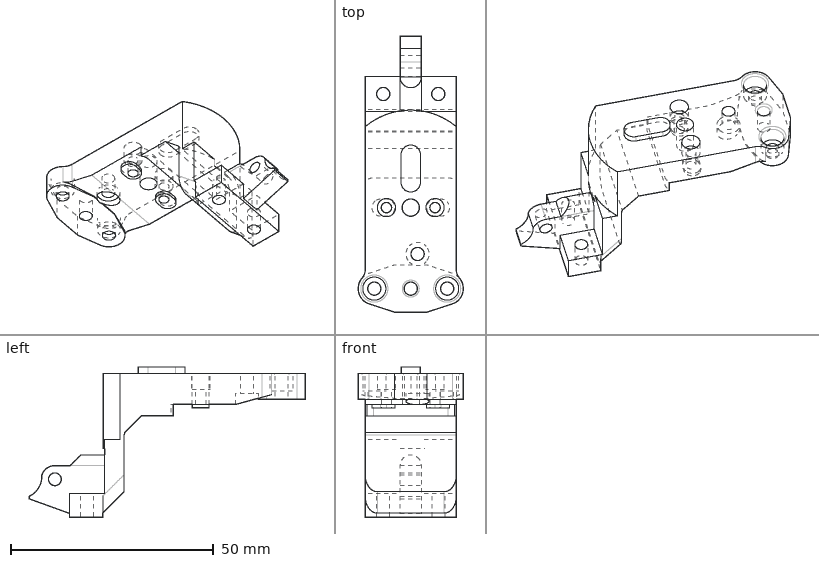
import cadquery as cq
import math


body_width = 22.5
half_width = body_width / 2
arm_depth = 7.64
taper_start_y = 11.13
taper_angle = 15.5
step_y = 26.75
step_depth = 10.47
wall_front_y = 38.88
wall_back_y = 43.75
wall_middle_y = (wall_front_y + wall_back_y) / 2
haunch_drop = 4.13
haunch_facet_run = 0.17
haunch_facet_drop = 0.62
back_radius = 17.5
back_apex_y = 44.08
corner_shelf_z = -16.3
bulge_end_z = -18.6

head_thickness = 6.4
front_y = -5.85
front_half_flat = 4.0
head_back_y = -front_y
ear_x = 9.0
ear_radius = 4.0
ear_blend_radius = 3.5

screw_diameter = 3.2
ear_bore_diameter = 5.7
ear_bore_depth = 4.4
rim_rounding = 0.5
pilot_x = 6.0
mount_y = 20.0
pilot_diameter = 2.5
pilot_bore_diameter = 4.5
pilot_bore_depth = 4.0
centre_diameter = 4.2
offset_hole = (1.68, 8.55)
offset_bore_diameter = 5.7
offset_bore_top_z = -5.0

key_y = 29.65
key_length = 11.6
key_width = 4.8
key_height = 1.6
pad_x = 6.75
pad_length = 5.65
pad_width = 4.2
pad_height = 0.9
recess_lip = 0.4
recess_flat_inset = 2.05
recess_corner_radius = 2.5

foot_front_y = 44.17
foot_back_y = 52.42
foot_top_z = -29.64
foot_bottom_z = -35.57
foot_hole_x = 6.8
foot_hole_y = 48.05
bevel_top_z = -29.23
bevel_fillet = 3.0

tongue_width = 5.2
tongue_top_z = -22.75
ridge_end_y = 52.2
eye_y = 56.0
eye_radius = 3.4
eye_diameter = 3.1
eye_z = tongue_top_z - eye_radius
eye_angle = 17.0
hook_mid = (60.35, -28.7)
overall_length = 68.22
tip_y = front_y + overall_length
tip_top_z = -30.35
tip_bottom_z = -31.0
tongue_root_z = -34.6


def cylinder(x, y, diameter, bottom_z, top_z):
    """Vertical cylinder between two heights."""
    return cq.Workplane("XY", origin=(x, y, bottom_z)).circle(diameter / 2).extrude(top_z - bottom_z)


def extrude_side(sketch_points, width):
    """Prism of a (Y, Z) polygon, centred on X = 0."""
    return cq.Workplane("YZ").polyline(sketch_points).close().extrude(width / 2, both=True)


def ear_tangent(point_x, point_y):
    """Point where a line from (point_x, point_y) touches the ear on its outer side, at positive X."""
    dx = point_x - ear_x
    side = math.copysign(1, point_y)
    distance = math.hypot(dx, point_y)
    angle = math.atan2(point_y, dx) - side * math.acos(ear_radius / distance)
    return ear_x + ear_radius * math.cos(angle), ear_radius * math.sin(angle)


front_tangent = ear_tangent(front_half_flat, front_y)
ear_outer = (ear_x + ear_radius, 0)


def mirrored(point):
    """Point reflected across the YZ plane."""
    return -point[0], point[1]


def make_plan():
    """Full outline seen from above, as a prism reaching down to the end of the back bulge."""
    blend_x = half_width + ear_blend_radius
    centre_distance = ear_radius + ear_blend_radius
    blend_y = math.sqrt(centre_distance**2 - (blend_x - ear_x) ** 2)
    share = ear_radius / centre_distance
    ear_end = (ear_x + share * (blend_x - ear_x), share * blend_y)
    blend_end = (half_width, blend_y)
    ear_end_angle = math.pi + math.atan2(blend_y, blend_x - ear_x)
    middle_angle = (math.pi + ear_end_angle) / 2
    blend_mid = (
        blend_x + ear_blend_radius * math.cos(middle_angle),
        blend_y + ear_blend_radius * math.sin(middle_angle),
    )
    back_corner_y = back_apex_y - back_radius + math.sqrt(back_radius**2 - half_width**2)
    back_corner = (half_width, back_corner_y)
    return (
        cq.Workplane("XY")
        .moveTo(-front_half_flat, front_y)
        .lineTo(front_half_flat, front_y)
        .lineTo(*front_tangent)
        .threePointArc(ear_outer, ear_end)
        .threePointArc(blend_mid, blend_end)
        .lineTo(*back_corner)
        .threePointArc((0, back_apex_y), mirrored(back_corner))
        .lineTo(*mirrored(blend_end))
        .threePointArc(mirrored(blend_mid), mirrored(ear_end))
        .threePointArc(mirrored(ear_outer), mirrored(front_tangent))
        .close()
        .extrude(bulge_end_z)
    )


def make_arm():
    """Arm with a tapered front underside, a step, and a haunch ending in a steep facet."""
    taper_rise = (taper_start_y - front_y) * math.tan(math.radians(taper_angle))
    haunch_top_y = wall_front_y - haunch_facet_run - haunch_drop
    haunch_bottom_z = -step_depth - haunch_drop
    profile = [
        (front_y, 0),
        (front_y, taper_rise - arm_depth),
        (taper_start_y, -arm_depth),
        (step_y, -arm_depth),
        (step_y, -step_depth),
        (haunch_top_y, -step_depth),
        (wall_front_y - haunch_facet_run, haunch_bottom_z),
        (wall_front_y, haunch_bottom_z - haunch_facet_drop),
        (wall_front_y, bulge_end_z),
        (back_apex_y, bulge_end_z),
        (back_apex_y, 0),
    ]
    return extrude_side(profile, 2 * (ear_x + ear_radius)).intersect(make_plan())


def make_head():
    """Thick front pad that joins both ears."""
    back_flat = (front_half_flat, head_back_y)
    back_tangent = ear_tangent(*back_flat)
    return (
        cq.Workplane("XY")
        .moveTo(-front_half_flat, front_y)
        .lineTo(front_half_flat, front_y)
        .lineTo(*front_tangent)
        .threePointArc(ear_outer, back_tangent)
        .lineTo(*back_flat)
        .lineTo(*mirrored(back_flat))
        .lineTo(*mirrored(back_tangent))
        .threePointArc(mirrored(ear_outer), mirrored(front_tangent))
        .close()
        .extrude(-head_thickness)
    )


def make_wall():
    """Upright wall whose lower front is bevelled at 45 degrees with rounded side edges."""
    bevel_bottom_z = bevel_top_z - (foot_front_y - wall_front_y)
    profile = [
        (wall_front_y, corner_shelf_z),
        (wall_front_y, bevel_top_z),
        (foot_front_y, bevel_bottom_z),
        (foot_front_y, foot_top_z),
        (wall_back_y, foot_top_z),
        (wall_back_y, corner_shelf_z),
    ]
    wall = extrude_side(profile, body_width)
    return wall.edges(cq.selectors.ParallelDirSelector(cq.Vector(0, 1, -1))).fillet(bevel_fillet)


def make_foot():
    """Block behind the wall."""
    foot = cq.Workplane("XY").box(
        body_width,
        foot_back_y - foot_front_y,
        foot_top_z - foot_bottom_z,
        centered=(True, False, False),
    )
    return foot.translate((0, foot_front_y, foot_bottom_z))


def make_tongue():
    """Flat tongue with an eye and a hooked tip."""
    angle = math.radians(eye_angle)
    middle = (angle + math.pi / 2) / 2
    eye_end = (eye_y + eye_radius * math.cos(angle), eye_z + eye_radius * math.sin(angle))
    eye_mid = (eye_y + eye_radius * math.cos(middle), eye_z + eye_radius * math.sin(middle))
    return (
        cq.Workplane("YZ")
        .moveTo(wall_middle_y, tongue_top_z)
        .lineTo(eye_y, tongue_top_z)
        .threePointArc(eye_mid, eye_end)
        .threePointArc(hook_mid, (tip_y, tip_top_z))
        .lineTo(tip_y, tip_bottom_z)
        .lineTo(foot_back_y, tongue_root_z)
        .lineTo(foot_front_y, tongue_root_z)
        .lineTo(foot_front_y, foot_top_z)
        .lineTo(wall_middle_y, foot_top_z)
        .close()
        .extrude(tongue_width / 2, both=True)
    )


def make_ridge():
    """Half-round ridge on the tongue, with its back end cut at 45 degrees."""
    radius = tongue_width / 2
    bar = cq.Workplane("XZ", origin=(0, wall_middle_y, tongue_top_z)).circle(radius)
    bar = bar.extrude(wall_middle_y - ridge_end_y)
    envelope = [
        (wall_middle_y, tongue_top_z),
        (ridge_end_y, tongue_top_z),
        (ridge_end_y - radius, tongue_top_z + radius),
        (wall_middle_y, tongue_top_z + radius),
    ]
    return bar.intersect(extrude_side(envelope, tongue_width))


def make_key():
    """Obround key on top of the arm."""
    return cq.Workplane("XY").center(0, key_y).slot2D(key_length, key_width, 90).extrude(key_height)


def make_pads():
    """Obround pads under the arm, around the pilot holes."""
    return (
        cq.Workplane("XY", origin=(0, mount_y, -arm_depth))
        .pushPoints([(-pad_x, 0), (pad_x, 0)])
        .slot2D(pad_length, pad_width)
        .extrude(-pad_height)
    )


def make_recess():
    """Shallow recess in the step face, with an arc at each end that runs into its flat floor."""
    lip_x = half_width - recess_lip
    flat_x = half_width - recess_flat_inset
    run = lip_x - flat_x
    depth = recess_corner_radius - math.sqrt(recess_corner_radius**2 - run**2)
    floor_y = step_y + depth
    centre_y = floor_y - recess_corner_radius
    half_sweep = math.asin(run / recess_corner_radius) / 2
    arc_mid = (
        flat_x + recess_corner_radius * math.sin(half_sweep),
        centre_y + recess_corner_radius * math.cos(half_sweep),
    )
    return (
        cq.Workplane("XY", origin=(0, 0, -step_depth))
        .moveTo(-lip_x, step_y)
        .lineTo(lip_x, step_y)
        .threePointArc(arc_mid, (flat_x, floor_y))
        .lineTo(-flat_x, floor_y)
        .threePointArc(mirrored(arc_mid), (-lip_x, step_y))
        .close()
        .extrude(step_depth - arm_depth)
    )


def rounded_rim(x, y, diameter):
    """Cutter that rounds the edge of a hole at the top face."""
    hole_radius = diameter / 2
    rim_radius = hole_radius + rim_rounding
    arc_offset = rim_rounding * math.sqrt(0.5)
    return (
        cq.Workplane("XZ")
        .lineTo(rim_radius, 0)
        .threePointArc((rim_radius - arc_offset, arc_offset - rim_rounding), (hole_radius, -rim_rounding))
        .lineTo(0, -rim_rounding)
        .close()
        .revolve(360, (0, 0), (0, 1))
        .translate((x, y, 0))
    )


def cut_holes(part):
    """Holes through the arm, head, foot and tongue."""
    low_z = -arm_depth - pad_height
    for side in (-1, 1):
        x = side * ear_x
        part = part.cut(cylinder(x, 0, screw_diameter, low_z, 0))
        part = part.cut(cylinder(x, 0, ear_bore_diameter, -ear_bore_depth, 0))
        part = part.cut(rounded_rim(x, 0, ear_bore_diameter))
        x = side * pilot_x
        part = part.cut(cylinder(x, mount_y, pilot_diameter, low_z, 0))
        part = part.cut(cylinder(x, mount_y, pilot_bore_diameter, -pilot_bore_depth, 0))
        x = side * foot_hole_x
        part = part.cut(cylinder(x, foot_hole_y, screw_diameter, foot_bottom_z, foot_top_z))
    part = part.cut(cylinder(0, 0, screw_diameter, low_z, 0))
    part = part.cut(rounded_rim(0, 0, screw_diameter))
    part = part.cut(cylinder(0, mount_y, centre_diameter, low_z, 0))
    part = part.cut(cylinder(*offset_hole, screw_diameter, low_z, 0))
    part = part.cut(cylinder(*offset_hole, offset_bore_diameter, low_z, offset_bore_top_z))
    eye = cq.Workplane("YZ").center(eye_y, eye_z).circle(eye_diameter / 2)
    return part.cut(eye.extrude(tongue_width, both=True))


result = make_arm().cut(make_recess())
for make_piece in (make_head, make_wall, make_foot, make_tongue, make_ridge, make_key, make_pads):
    result = result.union(make_piece())
result = cut_holes(result)